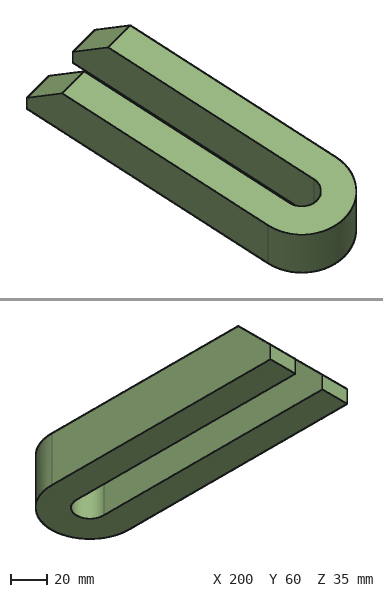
import cadquery as cq

length = 200.0
width = 60.0
height = 35.0
slot_width = 21.0
nose_height = 10.0

outer_radius = width / 2
slot_radius = slot_width / 2
bevel = height - nose_height
arc_center_x = length - outer_radius


def rounded_bar(radius):
    """Bar from X = 0 to the shared arc center, ending in a half circle."""
    return (
        cq.Workplane("XY")
        .moveTo(0, -radius)
        .lineTo(arc_center_x, -radius)
        .threePointArc((arc_center_x + radius, 0), (arc_center_x, radius))
        .lineTo(0, radius)
        .close()
        .extrude(height)
    )


def nose_wedge():
    """Triangular prism that slopes the tops of both prongs."""
    return (
        cq.Workplane("XZ")
        .moveTo(0, nose_height)
        .lineTo(bevel, height)
        .lineTo(0, height)
        .close()
        .extrude(width / 2, both=True)
    )


result = rounded_bar(outer_radius).cut(rounded_bar(slot_radius)).cut(nose_wedge())